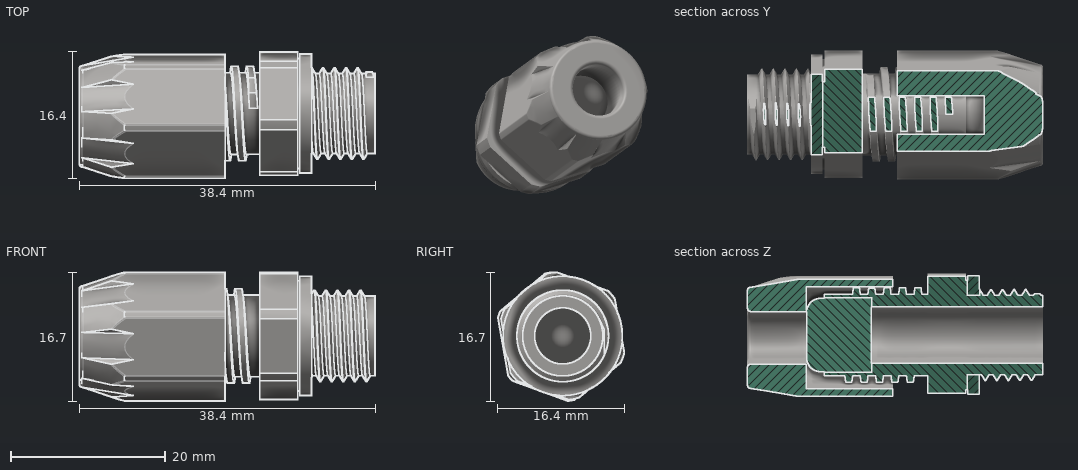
import cadquery as cq
import math


LENGTH = 38.4
ACROSS_FLATS = 15.0
HEX_TILT = 40.0
OVERLAP = 0.1

CAP_OFFSET_Y = -0.365
CAP_OFFSET_Z = -0.095
CAP_LENGTH = 18.95
CAP_CORNER_DIAMETER = 16.85
CAP_EDGE_FILLET = 0.4
RIM_RADIUS = 6.6
RIM_FILLET = 0.45
NOSE_LENGTH = 5.88
CABLE_HOLE_DIAMETER = 6.75
CABLE_HOLE_FILLET = 0.5
CHAMBER_START = 7.7
CHAMBER_DIAMETER = 13.15

SCALLOP_ROOT_WIDTH = 2.9
SCALLOP_SINK = 0.4
SCALLOP_FLARE = 1.3
SCALLOP_HEIGHT = 2.3

NECK_START = 10.0
NECK_DIAMETER = 10.65
HEX_START = 23.43
HEX_END = 28.4
HEX_CORNER_DIAMETER = 16.65
COLLAR_DIAMETER = 14.33
COLLAR_END = 28.6
STEM_DIAMETER = 10.4
THROUGH_BORE_DIAMETER = 7.3
SEAL_DIAMETER = 9.6
SEAL_SEAT = 16.15

NECK_THREAD_DIAMETER = 12.3
NECK_THREAD_PITCH = 2.0
NECK_THREAD_START = 12.18
NECK_THREAD_BASE = 1.08
NECK_THREAD_CREST = 0.85
NECK_THREAD_TURNS = 5.23
NECK_RUN_OUTS = [(63.0, 5.7), (82.0, 5.35)]
NECK_RUN_OUT_START = 21.8

STEM_THREAD_DIAMETER = 11.9
STEM_THREAD_PITCH = 1.5
STEM_THREAD_BASE = 1.0
STEM_THREAD_CREST = 0.08
STEM_THREAD_START = 28.65
STEM_THREAD_TURNS = 6.07
STEM_RUN_OUTS = [(0.0, 5.4), (25.0, 5.22)]
STEM_RUN_OUT_START = 36.87

WASHER_DIAMETER = 15.5
WASHER_END = 30.15

SEAL_FACE_DIAMETER = 5.9


def cylinder(diameter, start, end):
    """Round bar along X between two X positions."""
    return cq.Workplane("YZ", origin=(start, 0, 0)).circle(diameter / 2).extrude(end - start)


def hexagon(corner_diameter, start, end):
    """Tilted hexagonal bar along X with its corners turned down."""
    bar = (
        cq.Workplane("YZ", origin=(start, 0, 0))
        .transformed(rotate=(0, 0, HEX_TILT))
        .polygon(6, ACROSS_FLATS / math.cos(math.radians(30)))
        .extrude(end - start)
    )
    return bar.intersect(cylinder(corner_diameter, start, end))


def thread_ridge(root_diameter, outer_diameter, pitch, turns, start, base, crest):
    """Right-handed helical ridge along X that starts on the +Y side."""
    root = root_diameter / 2 - OVERLAP
    outer = outer_diameter / 2
    flank = (base - crest) / 2 / (outer - root_diameter / 2)
    sunk_base = base + 2 * flank * OVERLAP
    helix = cq.Wire.makeHelix(pitch, pitch * turns, root)
    ridge = (
        cq.Workplane("XZ")
        .moveTo(root, -sunk_base / 2)
        .lineTo(outer, -crest / 2)
        .lineTo(outer, crest / 2)
        .lineTo(root, sunk_base / 2)
        .close()
        .sweep(cq.Workplane(helix), isFrenet=True)
    )
    along_x = cq.Location(cq.Plane.named("YZ", (start, 0, 0)))
    return cq.Workplane(ridge.val().moved(along_x))


def run_out(angle, distance, start, end):
    """Block that planes a ridge flat at a distance from the axis, at an angle about it."""
    size = 3.85
    return (
        cq.Workplane("XY", origin=((start + end) / 2, 0, 0))
        .box(end - start, size, 2 * size)
        .translate((0, distance + size / 2, 0))
        .rotate((0, 0, 0), (1, 0, 0), angle)
    )


def scallop_cutter():
    """Tapering cutter on the +Z side with flared walls and a conical floor."""
    flat = ACROSS_FLATS / 2
    slope = (flat - RIM_RADIUS) / (NOSE_LENGTH - RIM_FILLET)
    reach = 2 * NOSE_LENGTH
    floor_start = RIM_RADIUS - slope * RIM_FILLET
    floor = (
        cq.Workplane("XY")
        .polyline([(0, 0), (0, floor_start), (reach, floor_start + slope * reach), (reach, 0)])
        .close()
        .revolve(360, (0, 0, 0), (1, 0, 0))
    )
    root_half_width = SCALLOP_ROOT_WIDTH / 2
    top_half_width = root_half_width + SCALLOP_FLARE * SCALLOP_HEIGHT
    prism = (
        cq.Workplane("YZ")
        .polyline([
            (-root_half_width, 0),
            (root_half_width, 0),
            (top_half_width, SCALLOP_HEIGHT),
            (-top_half_width, SCALLOP_HEIGHT),
        ])
        .close()
        .extrude(reach)
        .rotate((0, 0, 0), (0, 1, 0), -math.degrees(math.atan(slope)))
        .translate((0, 0, floor_start - SCALLOP_SINK))
    )
    return prism.cut(floor)


def scallops():
    """One scallop cutter for each flat of the cap."""
    first_flat = HEX_TILT + 30
    cutter = scallop_cutter().rotate((0, 0, 0), (1, 0, 0), first_flat - 90)
    return [cutter.rotate((0, 0, 0), (1, 0, 0), 60 * i) for i in range(6)]


def make_cap():
    """Hexagonal cap with a scalloped conical nose, a cable hole and a wide rear chamber."""
    corner = CAP_CORNER_DIAMETER / 2
    cap = hexagon(CAP_CORNER_DIAMETER, 0, CAP_LENGTH)
    nose_slope = (corner - RIM_RADIUS) / (NOSE_LENGTH - RIM_FILLET)
    blank_radius = corner + nose_slope * (CAP_LENGTH - NOSE_LENGTH)
    blank = (
        cq.Workplane("XY")
        .moveTo(0, 0)
        .lineTo(0, RIM_RADIUS - RIM_FILLET)
        .radiusArc((RIM_FILLET, RIM_RADIUS), RIM_FILLET)
        .lineTo(CAP_LENGTH, blank_radius)
        .lineTo(CAP_LENGTH, 0)
        .close()
        .revolve(360, (0, 0, 0), (1, 0, 0))
    )
    cap = cap.intersect(blank)
    cap = cap.faces("not(<X or >X)").faces("%PLANE").edges("not(>X)").fillet(CAP_EDGE_FILLET)
    for scallop in scallops():
        cap = cap.cut(scallop)
    cap = cap.cut(cylinder(CABLE_HOLE_DIAMETER, 0, CHAMBER_START))
    cap = cap.faces("<X").edges("%CIRCLE").edges(cq.selectors.RadiusNthSelector(0)).fillet(CABLE_HOLE_FILLET)
    cap = cap.cut(cylinder(CHAMBER_DIAMETER, CHAMBER_START, CAP_LENGTH))
    return cap.translate((0, CAP_OFFSET_Y, CAP_OFFSET_Z))


def make_body():
    """Threaded neck, hexagon, collar and threaded stem, bored for the seal and the cable."""
    body = cylinder(NECK_DIAMETER, NECK_START, HEX_START)
    body = body.union(hexagon(HEX_CORNER_DIAMETER, HEX_START, HEX_END))
    body = body.union(cylinder(COLLAR_DIAMETER, HEX_END, COLLAR_END))
    body = body.union(cylinder(STEM_DIAMETER, COLLAR_END, LENGTH))
    neck_ridge = thread_ridge(
        NECK_DIAMETER, NECK_THREAD_DIAMETER, NECK_THREAD_PITCH, NECK_THREAD_TURNS,
        NECK_THREAD_START, NECK_THREAD_BASE, NECK_THREAD_CREST,
    )
    for angle, distance in NECK_RUN_OUTS:
        neck_ridge = neck_ridge.cut(run_out(angle, distance, NECK_RUN_OUT_START, HEX_START))
    stem_ridge = thread_ridge(
        STEM_DIAMETER, STEM_THREAD_DIAMETER, STEM_THREAD_PITCH, STEM_THREAD_TURNS,
        STEM_THREAD_START, STEM_THREAD_BASE, STEM_THREAD_CREST,
    )
    stem_ridge = stem_ridge.intersect(cylinder(WASHER_DIAMETER, WASHER_END, LENGTH))
    for angle, distance in STEM_RUN_OUTS:
        stem_ridge = stem_ridge.cut(run_out(angle, distance, STEM_RUN_OUT_START, LENGTH))
    body = body.union(neck_ridge).union(stem_ridge)
    body = body.cut(cylinder(SEAL_DIAMETER, NECK_START, SEAL_SEAT))
    return body.cut(cylinder(THROUGH_BORE_DIAMETER, SEAL_SEAT, LENGTH))


def make_washer():
    """Flat ring on the stem, against the collar."""
    hole = cylinder(STEM_DIAMETER, COLLAR_END, WASHER_END)
    return cylinder(WASHER_DIAMETER, COLLAR_END, WASHER_END).cut(hole)


def make_seal():
    """Solid plug in the neck with a domed front edge."""
    seal = cylinder(SEAL_DIAMETER, CHAMBER_START, SEAL_SEAT)
    return seal.faces("<X").edges().fillet((SEAL_DIAMETER - SEAL_FACE_DIAMETER) / 2)


cap = make_cap()
body = make_body()
washer = make_washer()
seal = make_seal()

result = cq.Compound.makeCompound([cap.val(), body.val(), washer.val(), seal.val()])